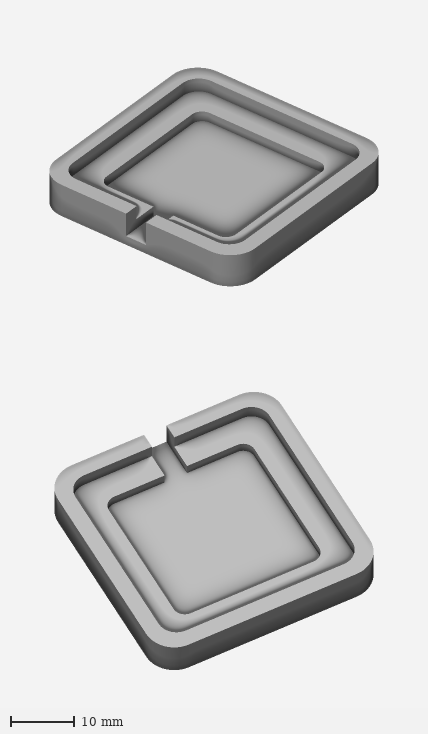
import cadquery as cq

side = 40.0
height = 6.0
corner_radius = 5.0

rim_width = 2.7
recess_side = side - 2 * rim_width
recess_radius = 3.2
recess_depth = 2.5

pocket_side = 26.0
pocket_radius = 2.0
floor_thickness = 1.7
pocket_depth = height - floor_thickness

slot_width = 4.0


def rounded_block(width, thickness, radius, bottom):
    """Square block centred on Z, with rounded vertical edges."""
    block = cq.Workplane("XY").workplane(offset=bottom).rect(width, width).extrude(thickness)
    return block.edges("|Z").fillet(radius)


def wall_slot():
    """Cutter running from the part centre to the -Y face."""
    return (
        cq.Workplane("XY")
        .workplane(offset=floor_thickness)
        .center(0, -side / 4)
        .rect(slot_width, side / 2)
        .extrude(pocket_depth)
    )


body = rounded_block(side, height, corner_radius, 0)
recess = rounded_block(recess_side, recess_depth, recess_radius, height - recess_depth)
pocket = rounded_block(pocket_side, pocket_depth, pocket_radius, floor_thickness)

result = body.cut(recess).cut(pocket).cut(wall_slot())